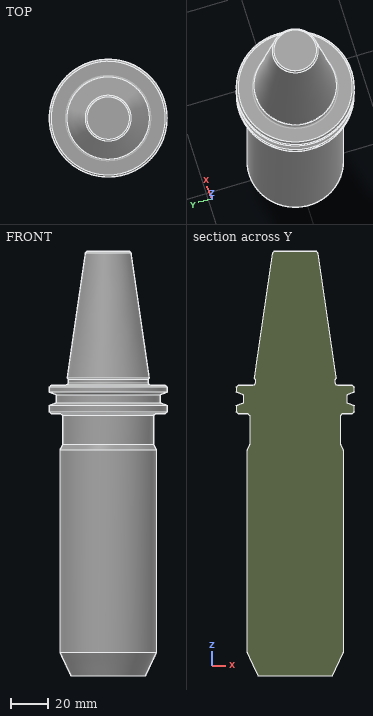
import cadquery as cq

total_length = 228.5
flange_diameter = 63.5
body_diameter = 52.0
neck_diameter = 49.0
nose_diameter = 40.0
groove_diameter = 56.2
relief_diameter = 43.2

gauge_diameter = 44.3
taper_length = 68.3
taper_ratio = 7 / 24
shank_chamfer = 1.0

nose_length = 12.8
shoulder_bottom = 121.5
shoulder_height = 3.0
flange_bottom = 141.0
flange_top = 156.5

flange_edge = 1.1
groove_bottom = 145.5
groove_top = 152.5
groove_bevel_height = 1.4
groove_floor_bottom = groove_bottom + groove_bevel_height
groove_floor_top = groove_top - groove_bevel_height
relief_fillet = 1.4
neck_chamfer = 1.0

body_radius = body_diameter / 2
neck_radius = neck_diameter / 2
flange_radius = flange_diameter / 2
groove_radius = groove_diameter / 2
relief_radius = relief_diameter / 2
gauge_radius = gauge_diameter / 2
gauge_height = total_length - taper_length
tip_radius = gauge_radius - taper_length * taper_ratio / 2
tip_edge_radius = tip_radius + shank_chamfer * taper_ratio / 2


def make_body():
    """Cylindrical body with a conical nose, a small shoulder and a chamfered neck."""
    return (
        cq.Workplane("XZ")
        .lineTo(nose_diameter / 2, 0)
        .lineTo(body_radius, nose_length)
        .lineTo(body_radius, shoulder_bottom)
        .lineTo(neck_radius, shoulder_bottom + shoulder_height)
        .lineTo(neck_radius, flange_bottom - neck_chamfer)
        .lineTo(neck_radius + neck_chamfer, flange_bottom)
        .lineTo(0, flange_bottom)
        .close()
        .revolve(360, (0, 0), (0, 1))
    )


def make_flange_and_shank():
    """Grooved flange, filleted relief neck and steep taper."""
    return (
        cq.Workplane("XZ")
        .moveTo(0, flange_bottom)
        .lineTo(flange_radius - flange_edge, flange_bottom)
        .lineTo(flange_radius, flange_bottom + flange_edge)
        .lineTo(flange_radius, groove_bottom)
        .lineTo(groove_radius, groove_floor_bottom)
        .lineTo(groove_radius, groove_floor_top)
        .lineTo(flange_radius, groove_top)
        .lineTo(flange_radius, flange_top - flange_edge)
        .lineTo(flange_radius - flange_edge, flange_top)
        .lineTo(relief_radius + relief_fillet, flange_top)
        .radiusArc((relief_radius, flange_top + relief_fillet), relief_fillet)
        .lineTo(relief_radius, gauge_height - (gauge_radius - relief_radius))
        .lineTo(gauge_radius, gauge_height)
        .lineTo(tip_edge_radius, total_length - shank_chamfer)
        .lineTo(tip_edge_radius - shank_chamfer, total_length)
        .lineTo(0, total_length)
        .close()
        .revolve(360, (0, 0), (0, 1))
    )


result = make_body().union(make_flange_and_shank())